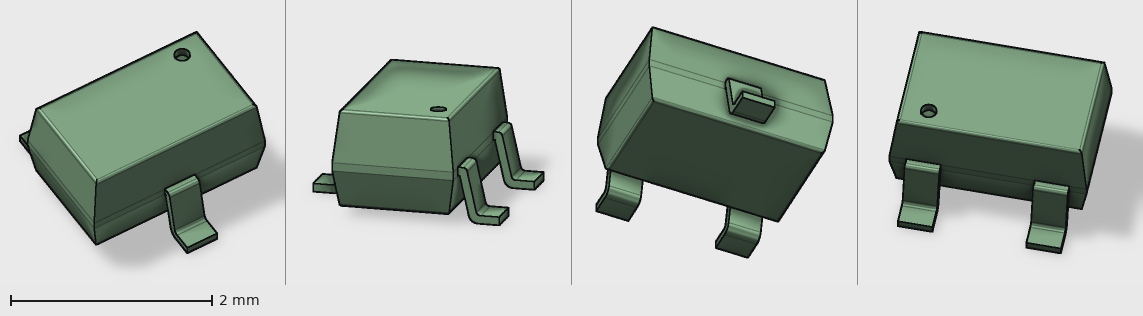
import cadquery as cq
import math

overall_span = 2.1
body_width = 1.25
body_length = 2.0
body_bottom = 0.1
body_top = 1.1
edge_inset = 0.063
edge_radius = 0.032

mark_diameter = 0.155
mark_depth = 0.1
mark_x = -0.374

lead_thickness = 0.086
lead_width = 0.35
lead_offset = 0.65
lead_top = 0.57
shoulder_x = 0.712
leg_angle = 12.7
shoulder_radius = 0.045
foot_inner_radius = 0.045
foot_outer_radius = 0.1

lead_bottom = lead_top - lead_thickness


def make_taper(start_z, end_z):
    """Half of the housing, narrowing from the band at start_z to end_z."""
    return (
        cq.Workplane("XY", origin=(0, 0, start_z))
        .rect(body_width, body_length)
        .workplane(offset=end_z - start_z)
        .rect(body_width - 2 * edge_inset, body_length - 2 * edge_inset)
        .loft(ruled=True)
    )


def make_housing():
    """Tapered block with a straight band, rounded rims and a round mark by pin one."""
    band = (
        cq.Workplane("XY", origin=(0, 0, lead_bottom))
        .rect(body_width, body_length)
        .extrude(lead_thickness)
    )
    block = band.union(make_taper(lead_top, body_top)).union(make_taper(lead_bottom, body_bottom))
    block = block.faces(">Z or <Z").edges().fillet(edge_radius)
    mark = (
        cq.Workplane("XY", origin=(mark_x, lead_offset, body_top - mark_depth))
        .circle(mark_diameter / 2)
        .extrude(mark_depth)
    )
    return block.cut(mark)


def make_lead(side, y):
    """Gull-wing lead centred at y, leaving the housing toward +X (side 1) or -X (side -1)."""
    lean = math.radians(leg_angle)
    leg_run = lead_bottom * math.tan(lean)
    corner_shift = lead_thickness * math.tan((math.pi / 2 - lean) / 2)
    inner_x = shoulder_x - corner_shift
    root_x = body_width / 2
    tip_x = overall_span / 2
    outline = [
        (root_x, lead_top),
        (shoulder_x, lead_top),
        (shoulder_x + leg_run, lead_thickness),
        (tip_x, lead_thickness),
        (tip_x, 0),
        (inner_x + leg_run, 0),
        (inner_x, lead_bottom),
        (root_x, lead_bottom),
    ]
    lead = (
        cq.Workplane("XZ", origin=(0, y + lead_width / 2, 0))
        .polyline([(side * x, z) for x, z in outline])
        .close()
        .extrude(lead_width)
    )

    def round_bend(solid, x, z, radius):
        corner = cq.selectors.NearestToPointSelector((side * x, y, z))
        return solid.edges("|Y").edges(corner).fillet(radius)

    lead = round_bend(lead, shoulder_x, lead_top, shoulder_radius)
    lead = round_bend(lead, shoulder_x + leg_run, lead_thickness, foot_inner_radius)
    return round_bend(lead, inner_x + leg_run, 0, foot_outer_radius)


housing = make_housing()
lead_places = [(1, 0), (-1, lead_offset), (-1, -lead_offset)]
leads = [make_lead(side, y) for side, y in lead_places]

result = cq.Compound.makeCompound([housing.val(), *[lead.val() for lead in leads]])